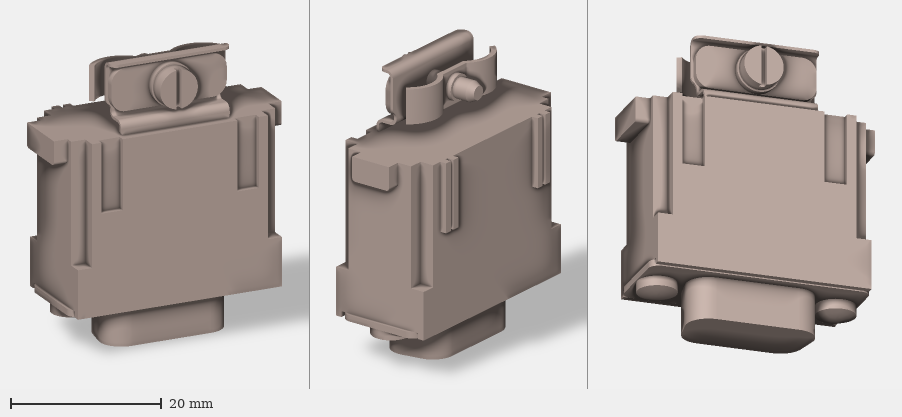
import cadquery as cq
import math

OVERLAP = 0.2

HOUSING_X = 14.65
HOUSING_Y = 30.0
HOUSING_Z = 24.4
CORNER_NOTCH = 2.1
CORNER_NOTCH_Z = 17.45

EAR_REACH_Y = 17.0
EAR_Z = 3.5
EAR_RADIUS = 0.5
FRONT_EAR_X = 8.2
BACK_EAR_X = 6.15

PAIR_Y = 10.0
RIB_X = 0.95
RIB_Y = 1.1
RIB_SPACING = 1.65
RIB_Z = 10.0
RECESS_Y = 3.15

SLOT_X = 12.8
SLOT_Z = 0.85
FLANGE_X = 12.4
FLANGE_Y = 30.9
FLANGE_Z = 0.9
FLANGE_RADIUS = 1.5

SHELL_X = 9.2
SHELL_MEAN_Y = 17.5
SHELL_TAPER = 10.0
SHELL_RADIUS = 3.1
SHELL_BOTTOM = -30.4

FLANGE_SCREW_Y = 12.55
FLANGE_SCREW_DIAMETER = 5.5
FLANGE_SCREW_RIM_Z = 1.35
FLANGE_SCREW_DOME_Z = 0.55

STRAP_THICKNESS = 0.4
STRAP_BEND = 1.0
STRAP_FACE_X = 2.55
STRAP_TOP = 9.6
STRAP_LIP_END_X = 4.9
STRAP_STEP_Z = 1.5
STRAP_LEG_X = 5.9
STRAP_END_Z = -0.45
STRAP_WIDE_Y = 17.6
STRAP_NARROW_Y = 16.0
STRAP_LIP_RADIUS = 1.05
STRAP_END_RADIUS = 0.95
STRAP_NECK_TOP = 4.25
STRAP_NECK_BOTTOM = 2.7

SCREW_Z = 5.6
SCREW_TIP_X = -5.0
SHAFT_DIAMETER = 3.0
TIP_DIAMETER = 2.0
TIP_LENGTH = 1.0
BAR_X = 1.05
BAR_Y = 16.95
BAR_Z = 6.05
BAR_RADIUS = 2.05
WASHER_X = 0.95
WASHER_DIAMETER = BAR_Z
HEAD_X = 2.1
HEAD_DIAMETER = 5.5
DRIVE_SLOT_WIDTH = 0.75
DRIVE_SLOT_DEPTH = 0.9

CLIP_FACE_X = -1.02
CLIP_THICKNESS = 0.75
CLIP_Z = 5.0
CLIP_ARC_Y = 5.85
CLIP_PEAK_X = -2.38
CLIP_RADIUS = 4.7
CLIP_TIP_ANGLE = 56.0
COLLAR_X = 0.8
COLLAR_DIAMETER = 3.8


def block(x_range, y_range, z_range):
    """Axis-aligned box from three (low, high) ranges."""
    lows, highs = zip(x_range, y_range, z_range)
    sizes = [high - low for low, high in zip(lows, highs)]
    return cq.Workplane("XY").box(*sizes, centered=False).translate(lows)


def centred(size):
    return (-size / 2, size / 2)


def x_cylinder(diameter, x_start, x_end):
    """Cylinder on the clamp screw axis."""
    return (
        cq.Workplane("YZ", origin=(x_start, 0, SCREW_Z))
        .circle(diameter / 2)
        .extrude(x_end - x_start)
    )


def make_ear(width, side):
    inner = HOUSING_Y / 2 - OVERLAP
    y_range = sorted((side * inner, side * EAR_REACH_Y))
    return block(centred(width), y_range, (-EAR_Z, 0)).edges("|Y and <Z").fillet(EAR_RADIUS)


def make_housing():
    body = block(centred(HOUSING_X), centred(HOUSING_Y), (-HOUSING_Z, 0))
    corners = (
        cq.Workplane("XY")
        .rect(HOUSING_X, HOUSING_Y, forConstruction=True)
        .vertices()
        .rect(2 * CORNER_NOTCH, 2 * CORNER_NOTCH)
        .extrude(-CORNER_NOTCH_Z)
    )
    body = body.cut(corners)
    body = body.union(make_ear(FRONT_EAR_X, -1)).union(make_ear(BACK_EAR_X, 1))

    side_x = HOUSING_X / 2
    for pair_y in (-PAIR_Y, PAIR_Y):
        for rib_y in (pair_y - RIB_SPACING / 2, pair_y + RIB_SPACING / 2):
            rib_range = (rib_y - RIB_Y / 2, rib_y + RIB_Y / 2)
            body = body.union(block((-side_x - RIB_X, -side_x + OVERLAP), rib_range, (-RIB_Z, 0)))
        recess_range = (pair_y - RECESS_Y / 2, pair_y + RECESS_Y / 2)
        body = body.cut(block((side_x - RIB_X, side_x), recess_range, (-RIB_Z, 0)))

    slot_range = (-HOUSING_Z, SLOT_Z - HOUSING_Z)
    return body.cut(block(centred(SLOT_X), centred(HOUSING_Y), slot_range))


FLANGE_TOP = SLOT_Z - HOUSING_Z
FLANGE_BOTTOM = FLANGE_TOP - FLANGE_Z


def make_flange():
    flange = block(centred(FLANGE_X), centred(FLANGE_Y), (FLANGE_BOTTOM, FLANGE_TOP))
    return flange.edges("|Z").fillet(FLANGE_RADIUS)


def make_shell():
    half_x = SHELL_X / 2
    taper = half_x * math.tan(math.radians(SHELL_TAPER))
    narrow_y = SHELL_MEAN_Y / 2 - taper
    wide_y = SHELL_MEAN_Y / 2 + taper
    outline = [(-half_x, -narrow_y), (half_x, -wide_y), (half_x, wide_y), (-half_x, narrow_y)]
    top = FLANGE_BOTTOM + OVERLAP
    shell = cq.Workplane("XY", origin=(0, 0, SHELL_BOTTOM)).polyline(outline).close()
    return shell.extrude(top - SHELL_BOTTOM).edges("|Z").fillet(SHELL_RADIUS)


def make_flange_screw(y):
    radius = FLANGE_SCREW_DIAMETER / 2
    rim = -FLANGE_SCREW_RIM_Z
    tip = rim - FLANGE_SCREW_DOME_Z
    dome_radius = (radius**2 + FLANGE_SCREW_DOME_Z**2) / (2 * FLANGE_SCREW_DOME_Z)
    dome_mid_z = tip + dome_radius - math.sqrt(dome_radius**2 - (radius / 2) ** 2)
    return (
        cq.Workplane("XZ", origin=(0, y, FLANGE_BOTTOM))
        .moveTo(0, OVERLAP)
        .lineTo(radius, OVERLAP)
        .lineTo(radius, rim)
        .threePointArc((radius / 2, dome_mid_z), (0, tip))
        .close()
        .revolve(360, (0, 0, 0), (0, 1, 0))
    )


def make_strap():
    thick = STRAP_THICKNESS
    outer = STRAP_BEND
    inner = outer - thick
    back_x = STRAP_FACE_X + thick
    leg_inner_x = STRAP_LEG_X - thick
    step_top = STRAP_STEP_Z + thick
    bends_x = STRAP_FACE_X + outer
    leg_bend_x = STRAP_LEG_X - outer
    leg_bend_z = step_top - outer
    profile = (
        cq.Workplane("XZ")
        .moveTo(STRAP_LIP_END_X, STRAP_TOP)
        .lineTo(bends_x, STRAP_TOP)
        .radiusArc((STRAP_FACE_X, STRAP_TOP - outer), -outer)
        .lineTo(STRAP_FACE_X, STRAP_STEP_Z + outer)
        .radiusArc((bends_x, STRAP_STEP_Z), -outer)
        .lineTo(leg_bend_x, STRAP_STEP_Z)
        .radiusArc((leg_inner_x, leg_bend_z), inner)
        .lineTo(leg_inner_x, STRAP_END_Z)
        .lineTo(STRAP_LEG_X, STRAP_END_Z)
        .lineTo(STRAP_LEG_X, leg_bend_z)
        .radiusArc((leg_bend_x, step_top), -outer)
        .lineTo(bends_x, step_top)
        .radiusArc((back_x, STRAP_STEP_Z + outer), inner)
        .lineTo(back_x, STRAP_TOP - outer)
        .radiusArc((bends_x, STRAP_TOP - thick), inner)
        .lineTo(STRAP_LIP_END_X, STRAP_TOP - thick)
        .close()
    )
    sheet = profile.extrude(STRAP_WIDE_Y / 2, both=True)
    return sheet.intersect(make_strap_envelope())


def make_strap_envelope():
    """Solid bounding the strap width: wide above, S-curved neck, narrow below, rounded lip corners."""
    wide = STRAP_WIDE_Y / 2
    narrow = STRAP_NARROW_Y / 2
    drop = STRAP_NECK_TOP - STRAP_NECK_BOTTOM
    inset = wide - narrow
    neck_radius = (drop**2 + inset**2) / (4 * inset)
    neck_mid = ((wide + narrow) / 2, (STRAP_NECK_TOP + STRAP_NECK_BOTTOM) / 2)
    half = (
        cq.Workplane("YZ")
        .moveTo(0, STRAP_TOP)
        .lineTo(wide, STRAP_TOP)
        .lineTo(wide, STRAP_NECK_TOP)
        .radiusArc(neck_mid, neck_radius)
        .radiusArc((narrow, STRAP_NECK_BOTTOM), -neck_radius)
        .lineTo(narrow, STRAP_END_Z + STRAP_END_RADIUS)
        .radiusArc((narrow - STRAP_END_RADIUS, STRAP_END_Z), STRAP_END_RADIUS)
        .lineTo(0, STRAP_END_Z)
        .close()
        .extrude(STRAP_LEG_X)
    )
    upper = block((0, STRAP_LIP_END_X), centred(STRAP_WIDE_Y), (STRAP_NECK_BOTTOM, STRAP_TOP))
    upper = upper.edges("|Z and >X").fillet(STRAP_LIP_RADIUS)
    lower = block((0, STRAP_LEG_X), centred(STRAP_WIDE_Y), (STRAP_END_Z, STRAP_NECK_BOTTOM))
    return half.union(half.mirror("XZ")).intersect(upper.union(lower))


BAR_START_X = STRAP_FACE_X + STRAP_THICKNESS
WASHER_START_X = BAR_START_X + BAR_X
HEAD_START_X = WASHER_START_X + WASHER_X
HEAD_END_X = HEAD_START_X + HEAD_X


def make_clamp_screw():
    shaft = x_cylinder(SHAFT_DIAMETER, SCREW_TIP_X, HEAD_START_X + OVERLAP)
    shaft = shaft.faces("<X").chamfer(TIP_LENGTH, (SHAFT_DIAMETER - TIP_DIAMETER) / 2)
    bar_range = (SCREW_Z - BAR_Z / 2, SCREW_Z + BAR_Z / 2)
    bar = block((BAR_START_X, WASHER_START_X), centred(BAR_Y), bar_range)
    bar = bar.edges("|X").fillet(BAR_RADIUS)
    washer = x_cylinder(WASHER_DIAMETER, WASHER_START_X, HEAD_START_X)
    head = x_cylinder(HEAD_DIAMETER, HEAD_START_X, HEAD_END_X)
    slot_z_range = (SCREW_Z - HEAD_DIAMETER / 2, SCREW_Z + HEAD_DIAMETER / 2)
    slot = block((HEAD_END_X - DRIVE_SLOT_DEPTH, HEAD_END_X), centred(DRIVE_SLOT_WIDTH), slot_z_range)
    collar = x_cylinder(COLLAR_DIAMETER, CLIP_FACE_X - COLLAR_X, CLIP_FACE_X)
    return shaft.union(bar).union(washer).union(head.cut(slot)).union(collar)


def make_clip():
    centre_x = CLIP_PEAK_X + CLIP_RADIUS
    inner_radius = CLIP_RADIUS - CLIP_THICKNESS
    flat_back_x = CLIP_FACE_X + CLIP_THICKNESS

    def wing_point(radius, angle):
        """Point on a wing arc, with the angle measured from the -X peak towards the tip."""
        turn = math.radians(angle)
        return (centre_x - radius * math.cos(turn), CLIP_ARC_Y + radius * math.sin(turn))

    def root_point(radius, x):
        """Point where a wing arc runs into the flat middle."""
        return (x, CLIP_ARC_Y - math.sqrt(radius**2 - (centre_x - x) ** 2))

    half = (
        cq.Workplane("XY", origin=(0, 0, SCREW_Z - CLIP_Z / 2))
        .moveTo(CLIP_FACE_X, 0)
        .lineTo(*root_point(CLIP_RADIUS, CLIP_FACE_X))
        .threePointArc(wing_point(CLIP_RADIUS, 0), wing_point(CLIP_RADIUS, CLIP_TIP_ANGLE))
        .lineTo(*wing_point(inner_radius, CLIP_TIP_ANGLE))
        .threePointArc(wing_point(inner_radius, 0), root_point(inner_radius, flat_back_x))
        .lineTo(flat_back_x, 0)
        .close()
        .extrude(CLIP_Z)
    )
    return half.union(half.mirror("XZ"))


result = make_housing().union(make_flange()).union(make_shell())
for screw_y in (-FLANGE_SCREW_Y, FLANGE_SCREW_Y):
    result = result.union(make_flange_screw(screw_y))
result = result.union(make_strap()).union(make_clamp_screw()).union(make_clip())